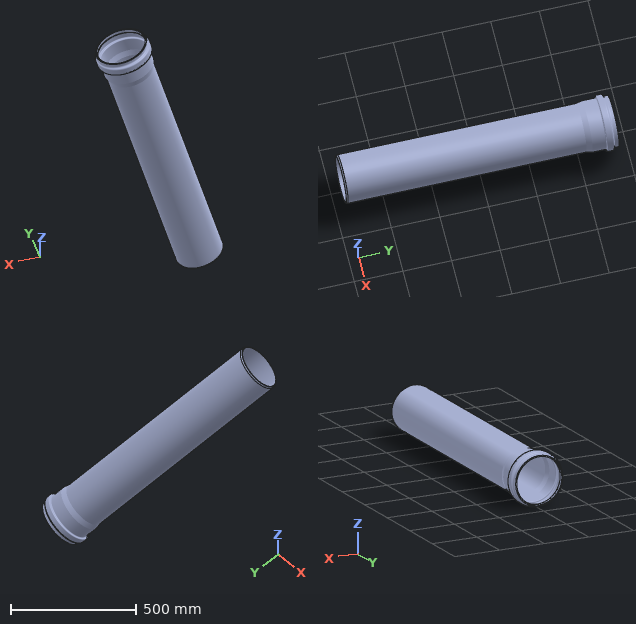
import cadquery as cq

length = 1120.0
pipe_radius = 200.0 / 2
bore_radius = 188.0 / 2
socket_radius = 212.0 / 2
socket_bore_radius = 202.0 / 2
bead_radius = 232.0 / 2
groove_radius = 222.0 / 2

chamfer_length = 7.0
chamfer_depth = 3.0

bead_front_start = 13.0
bead_front_end = 27.0
bead_back_start = 47.0
bead_back_end = 54.0
taper_start = 109.0
taper_end = 132.0

spigot_end = -length / 2
mouth = length / 2
front_start = mouth - bead_front_start
front_end = mouth - bead_front_end
front_middle = (front_start + front_end) / 2
back_start = mouth - bead_back_start
back_end = mouth - bead_back_end
back_middle = (back_start + back_end) / 2
back_fillet = (back_start - back_end) / 2


def add_socket(profile, body_radius, raised_radius):
    """Trace one socket surface from its taper, over the seal bead, to the mouth."""
    middle_radius = (body_radius + raised_radius) / 2
    return (
        profile.lineTo(body_radius, mouth - taper_start)
        .lineTo(body_radius, back_end)
        .tangentArcPoint((body_radius + back_fillet, back_middle), relative=False)
        .lineTo(raised_radius - back_fillet, back_middle)
        .tangentArcPoint((raised_radius, back_start), relative=False)
        .lineTo(raised_radius, front_end)
        .tangentArcPoint((middle_radius, front_middle), relative=False)
        .tangentArcPoint((body_radius, front_start), relative=False)
        .lineTo(body_radius, mouth)
    )


def revolved_outer():
    """Solid envelope of the pipe, with a chamfered spigot and a beaded socket."""
    profile = (
        cq.Workplane("XY")
        .moveTo(0, spigot_end)
        .lineTo(pipe_radius - chamfer_depth, spigot_end)
        .lineTo(pipe_radius, spigot_end + chamfer_length)
        .lineTo(pipe_radius, mouth - taper_end)
    )
    profile = add_socket(profile, socket_radius, bead_radius)
    return profile.lineTo(0, mouth).close().revolve(360, (0, 0, 0), (0, 1, 0))


def revolved_bore():
    """Through bore, widened in the socket and grooved for the seal inside the bead."""
    profile = (
        cq.Workplane("XY")
        .moveTo(0, spigot_end)
        .lineTo(bore_radius, spigot_end)
        .lineTo(bore_radius, mouth - taper_end)
    )
    profile = add_socket(profile, socket_bore_radius, groove_radius)
    return profile.lineTo(0, mouth).close().revolve(360, (0, 0, 0), (0, 1, 0))


result = revolved_outer().cut(revolved_bore())